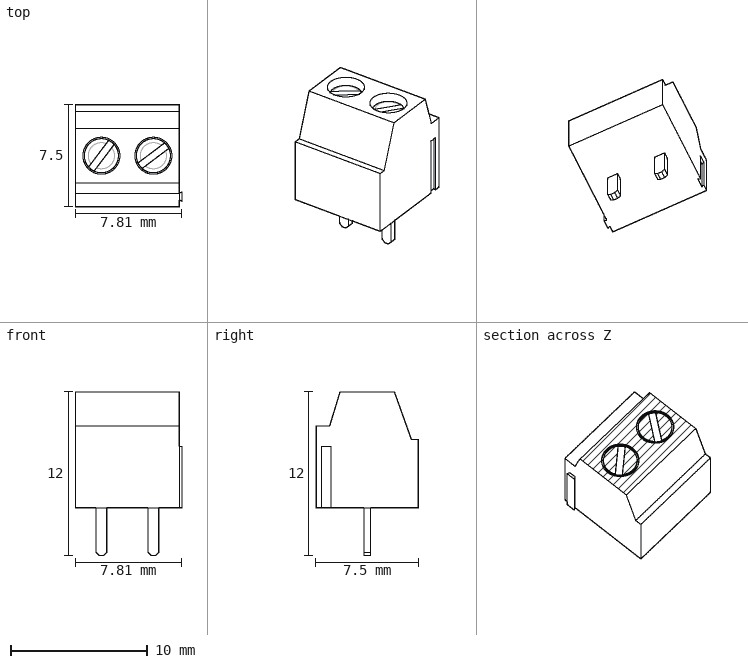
import cadquery as cq

pole_count = 2
pole_pitch = 3.81
body_length = pole_count * pole_pitch
body_depth = 7.5
front_ledge_depth = 1.0
front_ledge_height = 6.0
rear_ledge_depth = 0.5
rear_ledge_height = 5.0
top_front = 1.75
top_rear = 5.75

pin_length = 3.5
overall_height = 12.0
body_height = overall_height - pin_length
pin_width = 0.8
pin_thickness = 0.5
pin_front = 3.5
pin_tip_chamfer = 0.24

well_radius = 1.35
well_depth = 1.0
screw_radius = 1.25
screw_recess = 0.5
screw_edge_radius = 0.29
slot_width = 0.5
slot_depth = 0.42
slot_angles = (53.0, 37.0)

dovetail_root_width = 0.53
dovetail_flare = 0.08
dovetail_depth = 0.19
dovetail_height = 4.5
dovetail_center_y = 0.75


def make_housing():
    """Stepped side profile extruded along X."""
    profile = [
        (0, 0),
        (body_depth, 0),
        (body_depth, rear_ledge_height),
        (body_depth - rear_ledge_depth, rear_ledge_height),
        (top_rear, body_height),
        (top_front, body_height),
        (front_ledge_depth, front_ledge_height),
        (0, front_ledge_height),
    ]
    return cq.Workplane("YZ").polyline(profile).close().extrude(body_length)


def make_dovetail(root_x):
    """Prism that widens from root_x towards +X."""
    root_half = dovetail_root_width / 2
    tip_half = root_half + dovetail_flare
    tip_x = root_x + dovetail_depth
    section = [
        (root_x, dovetail_center_y - root_half),
        (tip_x, dovetail_center_y - tip_half),
        (tip_x, dovetail_center_y + tip_half),
        (root_x, dovetail_center_y + root_half),
    ]
    return cq.Workplane("XY").polyline(section).close().extrude(dovetail_height)


def make_well(x, y):
    """Round well that opens in the top face."""
    floor = cq.Workplane("XY", origin=(x, y, body_height - well_depth))
    return floor.circle(well_radius).extrude(well_depth)


def make_screw(x, y, slot_angle):
    """Round-edged screw head, with a slot that stops above the well floor."""
    head_height = well_depth - screw_recess
    floor = cq.Workplane("XY", origin=(x, y, body_height - well_depth))
    head = floor.circle(screw_radius).extrude(head_height)
    head = head.faces(">Z").edges().fillet(screw_edge_radius)
    slot_plane = floor.transformed(rotate=(0, 0, slot_angle), offset=(0, 0, head_height))
    slot = slot_plane.rect(2 * well_radius, slot_width).extrude(-slot_depth)
    return head.cut(slot)


def make_pin(x):
    """Flat pin with chamfered tip corners, hanging from the underside."""
    pin = cq.Workplane("XY").box(pin_width, pin_thickness, pin_length, centered=(True, False, False))
    pin = pin.faces("<Z").edges("|Y").chamfer(pin_tip_chamfer)
    return pin.translate((x, pin_front, -pin_length))


housing = make_housing()
housing = housing.union(make_dovetail(body_length))
result = housing.cut(make_dovetail(0))

for pole, slot_angle in enumerate(slot_angles):
    pole_x = (pole + 0.5) * pole_pitch
    pole_y = (top_front + top_rear) / 2
    result = result.cut(make_well(pole_x, pole_y))
    result = result.union(make_screw(pole_x, pole_y, slot_angle))
    result = result.union(make_pin(pole_x))